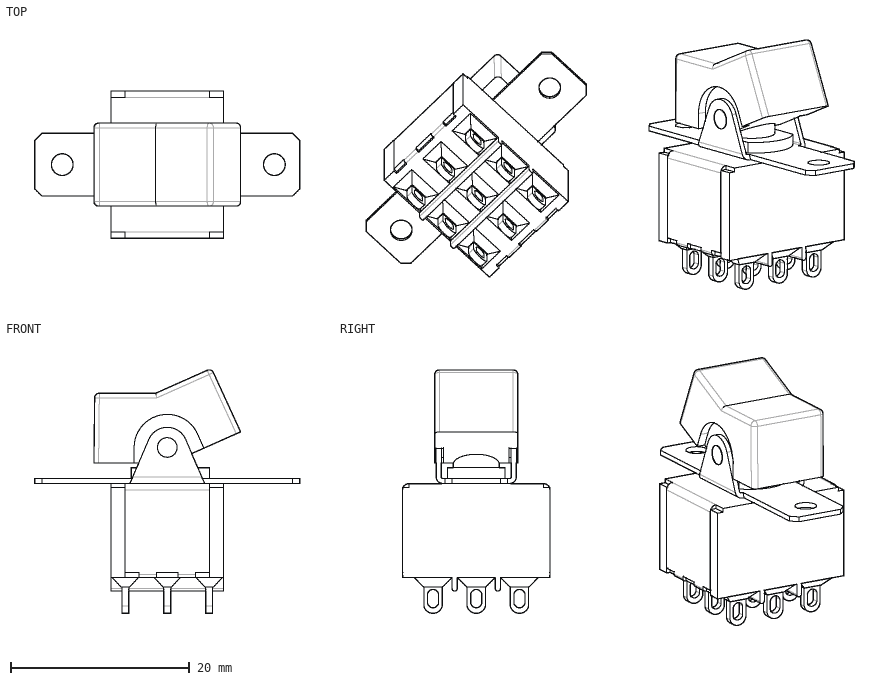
import cadquery as cq
import math


frame_thickness = 0.45
body_length = 12.6
body_width = 16.47
body_bottom = -10.52
body_top = -frame_thickness

frame_width = 16.5
frame_bend_radius = 0.75
strap_length = 9.48
strap_bottom = -9.93
tab_length = 1.93
tab_spacing = 4.35
tab_fillet = 0.33

plate_length = 29.63
plate_width = 7.02
plate_thickness = 0.55
plate_chamfer = 0.8
mount_hole_diameter = 2.4
mount_hole_spacing = 23.7
mount_hole_offset = 0.12

pivot_height = 4.03
ear_outer_y = 4.47
ear_bend_radius = 0.7
ear_inner_bend_radius = ear_bend_radius - plate_thickness
ear_tip_radius = 2.25
ear_flank_angle = math.radians(23.2)
pin_diameter = 2.2
pin_protrusion = 0.05

collar_diameter = 8.77
collar_width = 6.45
collar_top = 1.78
collar_offset = 0.35
stem_diameter = 5.2

rocker_width = 9.3
rocker_bend_angle = 24.0
rocker_top = 6.07
rocker_bottom = -1.75
rocker_reach_top = 8.12
rocker_reach_bottom = 8.2
rocker_fillet = 0.53
rocker_recess_radius = 3.7
rocker_recess_depth = 0.98

terminal_pitch_x = 4.68
terminal_pitch_y = 4.83
terminal_thickness = 0.8
terminal_width = 2.07
terminal_bottom = -14.52
terminal_end_rise = 0.83
slot_width = 1.21
slot_top = -11.85
slot_bottom = -13.87
slot_end_rise = 0.47
base_height = 1.05
base_length = 2.9
base_width = 4.2
base_tip_length = 0.98
base_tip_width = 2.15
rib_thickness = 0.6
rib_bottom = -12.03


def box(length, width, bottom, top):
    """Block centred on the Z axis between two heights."""
    return cq.Workplane("XY").workplane(offset=bottom).rect(length, width).extrude(top - bottom)


def make_body():
    """Plain block with a shallow recess for the strap on each Y side."""
    body = box(body_length, body_width, body_bottom, body_top)
    recess_floor = frame_width / 2 - frame_thickness
    for side in (-1, 1):
        recess = box(strap_length, 2 * frame_thickness, body_bottom, body_top)
        body = body.cut(recess.translate((0, side * (recess_floor + frame_thickness), 0)))
    return body


def make_frame():
    """Sheet cap with two side straps, each ending in two bent retaining tabs."""
    inner_width = frame_width - 2 * frame_thickness
    cap_width = frame_width - 2 * frame_bend_radius
    straps = box(strap_length, frame_width, strap_bottom, 0)
    straps = straps.edges("|X and >Z").fillet(frame_bend_radius)
    tabs = box(tab_length, frame_width, body_bottom, strap_bottom)
    tabs = tabs.edges("|X and <Z").fillet(tab_fillet)
    for x in (-tab_spacing / 2, tab_spacing / 2):
        straps = straps.union(tabs.translate((x, 0, 0)))
    straps = straps.cut(box(strap_length, inner_width, body_bottom, body_top))
    return straps.union(box(body_length, cap_width, body_top, 0))


def make_plate():
    """Flat mounting plate with chamfered corners and two screw holes."""
    plate = box(plate_length, plate_width, 0, plate_thickness)
    plate = plate.edges("|Z").chamfer(plate_chamfer)
    hole_centers = (
        plate.faces(">Z").workplane().center(mount_hole_offset, 0).rarray(mount_hole_spacing, 0.3, 2, 1)
    )
    return hole_centers.hole(mount_hole_diameter)


def make_ears():
    """Pair of tapered ears bent up from the plate edges, with the pivot pin."""
    ear_height = pivot_height + ear_tip_radius
    inner_width = 2 * (ear_outer_y - plate_thickness)
    channel = box(plate_length, 2 * ear_outer_y, 0, ear_height)
    channel = channel.edges("|X and <Z").fillet(ear_bend_radius)
    hollow = box(plate_length, inner_width, plate_thickness, ear_height)
    hollow = hollow.edges("|X and <Z").fillet(ear_inner_bend_radius)
    channel = channel.cut(hollow)

    tangent_x = ear_tip_radius * math.cos(ear_flank_angle)
    tangent_z = pivot_height + ear_tip_radius * math.sin(ear_flank_angle)
    foot_x = tangent_x + tangent_z * math.tan(ear_flank_angle)
    tapered_ears = (
        cq.Workplane("XZ")
        .moveTo(-foot_x, 0)
        .lineTo(-tangent_x, tangent_z)
        .threePointArc((0, ear_height), (tangent_x, tangent_z))
        .lineTo(foot_x, 0)
        .close()
        .extrude(ear_outer_y, both=True)
    )
    pin = (
        cq.Workplane("XZ")
        .center(0, pivot_height)
        .circle(pin_diameter / 2)
        .extrude(ear_outer_y + pin_protrusion, both=True)
    )
    return channel.intersect(tapered_ears).union(pin)


def make_bushing():
    """Flat-sided round collar, slightly off-centre along X, with a stem rising into the rocker."""
    collar = cq.Workplane("XY").circle(collar_diameter / 2).extrude(collar_top)
    collar = collar.intersect(box(collar_diameter, collar_width, 0, collar_top))
    collar = collar.translate((collar_offset, 0, 0))
    stem = cq.Workplane("XY").circle(stem_diameter / 2).extrude(pivot_height)
    return collar.union(stem)


def mirror_arm(x, z):
    """Matching point on the raised arm for a point on the level arm."""
    angle = math.radians(rocker_bend_angle)
    return (
        -x * math.cos(angle) - z * math.sin(angle),
        -x * math.sin(angle) + z * math.cos(angle),
    )


def make_ear_recesses():
    """Round-topped pockets in both sides of the rocker, open along its underside."""
    radius = rocker_recess_radius
    low = rocker_bottom - radius
    half_angle = math.radians(rocker_bend_angle / 2)
    level_side = (-radius, 0)
    pockets = (
        cq.Workplane("XZ")
        .moveTo(-radius, low)
        .lineTo(*level_side)
        .threePointArc(
            (-radius * math.sin(half_angle), radius * math.cos(half_angle)),
            mirror_arm(*level_side),
        )
        .lineTo(*mirror_arm(-radius, low))
        .close()
        .extrude(rocker_width, both=True)
    )
    web_width = rocker_width - 2 * rocker_recess_depth
    rocker_length = 2 * rocker_reach_bottom
    web = box(rocker_length, web_width, -rocker_length, rocker_length)
    return pockets.cut(web)


def make_rocker():
    """Two-arm rocker with rounded edges and side recesses that clear the ears."""
    half_bend = math.tan(math.radians(rocker_bend_angle / 2))
    top_vee = (-rocker_top * half_bend, rocker_top)
    bottom_vee = (-rocker_bottom * half_bend, rocker_bottom)
    top_corner = (-rocker_reach_top, rocker_top)
    bottom_corner = (-rocker_reach_bottom, rocker_bottom)
    rim = [bottom_corner, top_corner, top_vee, mirror_arm(*top_corner), mirror_arm(*bottom_corner)]
    rocker = (
        cq.Workplane("XZ")
        .polyline([bottom_vee] + rim)
        .close()
        .extrude(rocker_width / 2, both=True)
    )

    rounded = [(x, 0, z) for x, z in (top_corner, mirror_arm(*top_corner))]
    for (x0, z0), (x1, z1) in zip(rim, rim[1:]):
        for side in (-1, 1):
            rounded.append(((x0 + x1) / 2, side * rocker_width / 2, (z0 + z1) / 2))
    edges = cq.Workplane("XZ")
    for midpoint in rounded:
        edges = edges.add(rocker.edges(cq.selectors.NearestToPointSelector(midpoint)))
    rocker = rocker.newObject(edges.vals()).fillet(rocker_fillet)

    return rocker.cut(make_ear_recesses()).translate((0, 0, pivot_height))


def make_terminal_tongue():
    """Solder lug with an arched end and a wire slot."""
    half_width = terminal_width / 2
    half_slot = slot_width / 2
    end_start = terminal_bottom + terminal_end_rise
    slot_low = slot_bottom + slot_end_rise
    slot_high = slot_top - slot_end_rise
    tongue = (
        cq.Workplane("YZ")
        .moveTo(-half_width, body_bottom)
        .lineTo(-half_width, end_start)
        .threePointArc((0, terminal_bottom), (half_width, end_start))
        .lineTo(half_width, body_bottom)
        .close()
        .extrude(terminal_thickness / 2, both=True)
    )
    slot = (
        cq.Workplane("YZ")
        .moveTo(-half_slot, slot_high)
        .lineTo(-half_slot, slot_low)
        .threePointArc((0, slot_bottom), (half_slot, slot_low))
        .lineTo(half_slot, slot_high)
        .threePointArc((0, slot_top), (-half_slot, slot_high))
        .close()
        .extrude(terminal_thickness, both=True)
    )
    return tongue.cut(slot)


def make_terminal():
    """Solder lug standing out of a tapered base."""
    base = (
        cq.Workplane("XY")
        .workplane(offset=body_bottom)
        .rect(base_length, base_width)
        .workplane(offset=-base_height)
        .rect(base_tip_length, base_tip_width)
        .loft(ruled=True)
    )
    return base.union(make_terminal_tongue())


def make_rib():
    """Insulating rib with a fully rounded lower edge."""
    return (
        cq.Workplane("YZ")
        .moveTo(-rib_thickness / 2, body_bottom)
        .lineTo(-rib_thickness / 2, rib_bottom + rib_thickness / 2)
        .threePointArc((0, rib_bottom), (rib_thickness / 2, rib_bottom + rib_thickness / 2))
        .lineTo(rib_thickness / 2, body_bottom)
        .close()
        .extrude(body_length / 2, both=True)
    )


result = make_body().union(make_frame()).union(make_plate()).union(make_ears())
result = result.union(make_bushing()).union(make_rocker())

terminal = make_terminal()
for column in (-1, 0, 1):
    for row in (-1, 0, 1):
        result = result.union(terminal.translate((column * terminal_pitch_x, row * terminal_pitch_y, 0)))

rib = make_rib()
for side in (-1, 1):
    result = result.union(rib.translate((0, side * terminal_pitch_y / 2, 0)))